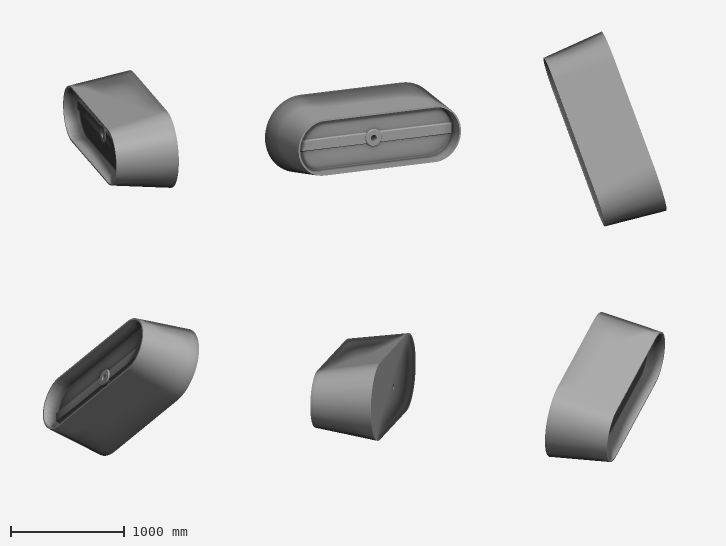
import cadquery as cq

length = 1700.0
height = 700.0
depth = 560.0
base_length = 1605.0
base_height = 510.0

lip = 15.0
recess_depth = 143.0
recess_taper = 3.0
floor_fillet = 12.0

bar_length = 1567.0
bar_width = 105.0
bar_level_rise = 17.0
bar_end_rise = 22.0
bar_level_half = 365.0
bar_taper = 28.0

boss_radius = 78.0
boss_rise = 29.0
boss_chamfer = 7.0
drain_radius = 29.0

base_y = -depth / 2
floor_y = base_y + recess_depth
recess_length = base_length - 2 * lip
recess_height = base_height - 2 * lip


def plane_at(y):
    """XZ plane at the given Y, with its normal along +Y."""
    return cq.Plane(origin=(0, y, 0), xDir=(1, 0, 0), normal=(0, 1, 0))


def make_body():
    return (
        cq.Workplane(plane_at(base_y))
        .slot2D(base_length, base_height)
        .workplane(offset=depth)
        .slot2D(length, height)
        .loft(ruled=True, combine=True)
    )


def make_recess():
    return (
        cq.Workplane(plane_at(base_y))
        .slot2D(recess_length, recess_height)
        .extrude(recess_depth, taper=recess_taper)
        .faces(">Y")
        .edges()
        .fillet(floor_fillet)
    )


def make_bar():
    """Bar with drafted sides, trimmed to its face profile and to the recess."""
    half_length = bar_length / 2
    blank = (
        cq.Workplane(plane_at(floor_y))
        .rect(bar_length, bar_width)
        .extrude(-bar_end_rise, taper=bar_taper)
    )
    profile = (
        cq.Workplane("XY")
        .moveTo(-half_length, floor_y)
        .lineTo(-half_length, floor_y - bar_end_rise)
        .lineTo(-bar_level_half, floor_y - bar_level_rise)
        .lineTo(bar_level_half, floor_y - bar_level_rise)
        .lineTo(half_length, floor_y - bar_end_rise)
        .lineTo(half_length, floor_y)
        .close()
        .extrude(bar_width / 2, both=True)
    )
    return blank.intersect(profile)


def make_boss():
    return (
        cq.Workplane(plane_at(floor_y))
        .circle(boss_radius)
        .extrude(-boss_rise)
        .faces("<Y")
        .edges()
        .chamfer(boss_chamfer)
    )


def make_drain():
    return cq.Workplane(plane_at(base_y)).circle(drain_radius).extrude(depth)


result = (
    make_body()
    .cut(make_recess())
    .union(make_bar())
    .union(make_boss())
    .cut(make_drain())
)